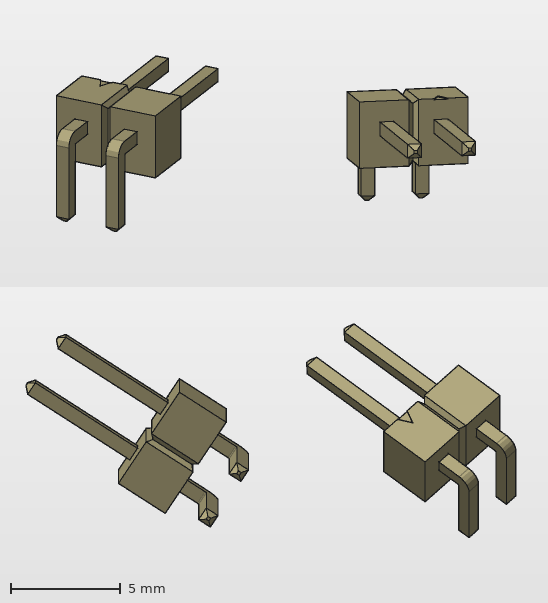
import cadquery as cq


total_length = 10.22
total_height = 5.38
row_width = 5.08

pin_count = 2
pitch = row_width / pin_count
housing_depth = 2.55
housing_height = 3.09
notch_size = 0.22

marker_size = 0.64
marker_depth = 0.05

pin_size = 0.64
pin_top_drop = 0.97
leg_reach = 1.84
outer_bend_radius = 0.6
inner_bend_radius = 0.05
tip_length = 0.26
tip_flat = 0.15

housing_front = -housing_depth / 2
housing_back = housing_depth / 2
leg_front = housing_front - leg_reach
pin_back = leg_front + total_length
pin_top = housing_height - pin_top_drop
pin_bottom = pin_top - pin_size
leg_bottom = housing_height - total_height
pin_positions = [(i - (pin_count - 1) / 2) * pitch for i in range(pin_count)]


def make_tip():
    """Square tapered tip, pointing along +Z from its base at the origin."""
    return (
        cq.Workplane("XY")
        .rect(pin_size, pin_size)
        .workplane(offset=tip_length)
        .rect(tip_flat, tip_flat)
        .loft(ruled=True)
    )


def make_pin(x):
    """Square pin bent down at the front, with a tapered tip at both ends."""
    shaft_end = pin_back - tip_length
    leg_end = leg_bottom + tip_length
    leg_back = leg_front + pin_size
    shaft = (
        cq.Workplane("YZ", origin=(x - pin_size / 2, 0, 0))
        .moveTo(shaft_end, pin_top)
        .lineTo(leg_front + outer_bend_radius, pin_top)
        .radiusArc((leg_front, pin_top - outer_bend_radius), -outer_bend_radius)
        .lineTo(leg_front, leg_end)
        .lineTo(leg_back, leg_end)
        .lineTo(leg_back, pin_bottom - inner_bend_radius)
        .radiusArc((leg_back + inner_bend_radius, pin_bottom), inner_bend_radius)
        .lineTo(shaft_end, pin_bottom)
        .close()
        .extrude(pin_size)
    )
    back_tip = (
        make_tip()
        .rotate((0, 0, 0), (1, 0, 0), -90)
        .translate((x, shaft_end, pin_top - pin_size / 2))
    )
    leg_tip = (
        make_tip()
        .rotate((0, 0, 0), (1, 0, 0), 180)
        .translate((x, leg_front + pin_size / 2, leg_end))
    )
    return shaft.union(back_tip).union(leg_tip)


def make_cell(index):
    """One block of the housing, chamfered around each face that meets a neighbour."""
    cell = cq.Workplane("XY").box(pitch, housing_depth, housing_height, centered=(True, True, False))
    if index > 0:
        cell = cell.faces("<X").edges().chamfer(notch_size)
    if index < pin_count - 1:
        cell = cell.faces(">X").edges().chamfer(notch_size)
    return cell.translate((pin_positions[index], 0, 0))


def make_marker():
    """Triangular pocket volume over the first pin, open at the back of the housing."""
    x = pin_positions[0]
    return (
        cq.Workplane("XY", origin=(x, housing_back, housing_height - marker_depth))
        .polyline([(-marker_size / 2, 0), (marker_size / 2, 0), (0, -marker_size)])
        .close()
        .extrude(marker_depth)
    )


def make_pin_hole(x):
    """Square through passage that fits a pin's shaft."""
    return (
        cq.Workplane("XY")
        .box(pin_size, housing_depth, pin_size)
        .translate((x, 0, pin_top - pin_size / 2))
    )


def make_housing():
    """Joined cells with the marker and the pin holes cut out."""
    housing = make_cell(0)
    for index in range(1, pin_count):
        housing = housing.union(make_cell(index))
    housing = housing.cut(make_marker())
    for x in pin_positions:
        housing = housing.cut(make_pin_hole(x))
    return housing


housing = make_housing()
pins = [make_pin(x) for x in pin_positions]

result = cq.Compound.makeCompound([housing.solids().val(), *[pin.solids().val() for pin in pins]])